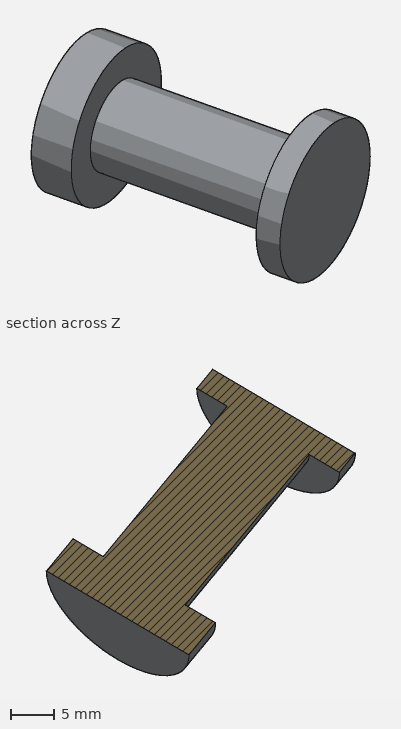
import cadquery as cq

total_length = 33.47
flange_diameter = 20.0
shaft_diameter = 11.55
thick_flange_width = 5.4
thin_flange_width = 3.2


def disc(start_x, width, diameter):
    """Solid cylinder along +X, starting at start_x."""
    return cq.Workplane("YZ", origin=(start_x, 0, 0)).circle(diameter / 2).extrude(width)


shaft = disc(0, total_length, shaft_diameter)
thick_flange = disc(0, thick_flange_width, flange_diameter)
thin_flange = disc(total_length - thin_flange_width, thin_flange_width, flange_diameter)

result = shaft.union(thick_flange).union(thin_flange)